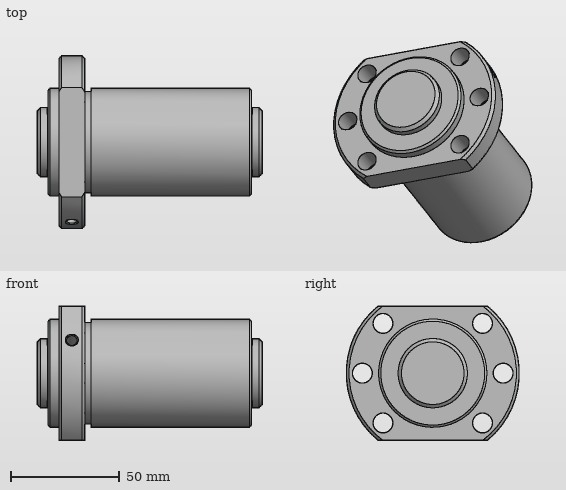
import cadquery as cq
import math

length = 104.0

nut_end_inset = 5.0
nut_diameter = 50.0
nut_chamfer = 1.0
neck_diameter = 47.0
neck_end = 25.0
bore_diameter = 25.6

flange_start = 10.0
flange_end = 22.0
flange_diameter = 80.0
flange_flat_height = 62.0
flange_chamfer = 1.4

bolt_hole_diameter = 9.0
bolt_circle_diameter = 65.0
bolt_angles = (-45, 0, 45, 135, 180, 225)

port_diameter = 4.9
port_mouth_diameter = 6.0
port_angle = 22.5

collar_diameter = 32.0
collar_length = 4.7
collar_chamfer = 1.6


def cylinder_x(start, end, diameter):
    """Solid cylinder along the X axis."""
    return cq.Workplane("YZ", origin=(start, 0, 0)).circle(diameter / 2).extrude(end - start)


def make_flange():
    """Chamfered disc cut to two flats, with its bolt holes."""
    thickness = flange_end - flange_start
    disc = cylinder_x(flange_start, flange_end, flange_diameter).edges().chamfer(flange_chamfer)
    flats = cq.Workplane("XY").box(thickness, flange_diameter, flange_flat_height)
    flange = disc.intersect(flats.translate(((flange_start + flange_end) / 2, 0, 0)))
    bolt_circle_radius = bolt_circle_diameter / 2
    for angle in bolt_angles:
        y = bolt_circle_radius * math.cos(math.radians(angle))
        z = bolt_circle_radius * math.sin(math.radians(angle))
        hole = cylinder_x(flange_start, flange_end, bolt_hole_diameter).translate((0, y, z))
        flange = flange.cut(hole)
    return flange


def make_port_cutter():
    """Radial hole from the bore to the rim, with a 45 degree countersunk mouth."""
    rim_radius = flange_diameter / 2
    hole_radius = port_diameter / 2
    mouth_radius = port_mouth_diameter / 2
    middle_x = (flange_start + flange_end) / 2
    angle = math.radians(port_angle)
    outward = cq.Vector(0, -math.cos(angle), math.sin(angle))
    axis_foot = cq.Vector(middle_x, 0, 0)
    hole = cq.Solid.makeCylinder(hole_radius, rim_radius, axis_foot, outward)
    mouth_depth = mouth_radius - hole_radius
    mouth_base = axis_foot + outward * (rim_radius - mouth_depth)
    mouth = cq.Solid.makeCone(hole_radius, mouth_radius, mouth_depth, mouth_base, outward)
    return cq.Workplane(hole.fuse(mouth))


def make_nut():
    """Flanged cylindrical nut with a relief neck, a plain bore and a lubrication port."""
    nut_end = length - nut_end_inset
    front = cylinder_x(nut_end_inset, flange_start, nut_diameter).faces("<X").edges().chamfer(nut_chamfer)
    neck = cylinder_x(flange_end, neck_end, neck_diameter)
    barrel = cylinder_x(neck_end, nut_end, nut_diameter).faces(">X").edges().chamfer(nut_chamfer)
    nut = make_flange().union(front).union(neck).union(barrel)
    return nut.cut(cylinder_x(nut_end_inset, nut_end, bore_diameter)).cut(make_port_cutter())


def make_shaft():
    """Shaft filling the bore, with chamfered collars just clear of the nut faces."""
    core = cylinder_x(0, length, bore_diameter)
    left = cylinder_x(0, collar_length, collar_diameter).faces("<X").edges().chamfer(collar_chamfer)
    right = cylinder_x(length - collar_length, length, collar_diameter)
    right = right.faces(">X").edges().chamfer(collar_chamfer)
    return core.union(left).union(right)


nut = make_nut()
shaft = make_shaft()

result = cq.Compound.makeCompound([nut.solids().val(), shaft.solids().val()])